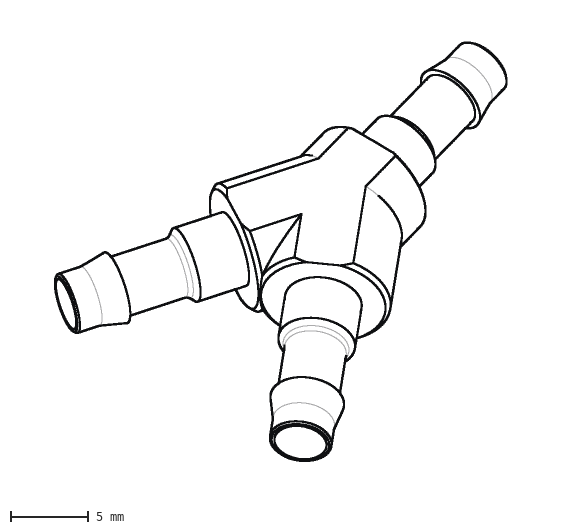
import cadquery as cq
import math

body_diameter = 8.68
body_height = 7.8
collar_diameter = 5.0
tube_diameter = 4.0
barb_diameter = 4.8
bore_diameter = 3.4

overall_length = 32.88
overall_width = 22.3
leg_angle = 30.0

collar_length = 3.4
collar_cone_end = 3.88
barb_shoulder = 8.25
barb_start = 10.05
spigot_length = 11.75
tip_chamfer = 0.13
stem_end_chamfer = 0.1
leg_end_chamfer = 0.3
leg_cone_fillet = 0.45

leg_sine = math.sin(math.radians(leg_angle))
leg_cosine = math.cos(math.radians(leg_angle))
tube_radius = tube_diameter / 2
tip_radius = tube_radius - tip_chamfer
leg_reach = (overall_width / 2 - tube_radius * leg_cosine) / leg_sine + tip_chamfer
leg_depth = leg_reach * leg_cosine + tip_radius * leg_sine
stem_reach = overall_length - leg_depth


def branch(reach, end_chamfer):
    """Solid of revolution along +Y: body barrel, collar, tube, barb and tip."""
    face = reach - spigot_length
    body_radius = body_diameter / 2
    collar_radius = collar_diameter / 2
    profile = [
        (0, 0),
        (body_radius, 0),
        (body_radius, face - end_chamfer),
        (body_radius - end_chamfer, face),
        (collar_radius, face),
        (collar_radius, face + collar_length),
        (tube_radius, face + collar_cone_end),
        (tube_radius, face + barb_shoulder),
        (barb_diameter / 2, face + barb_shoulder),
        (tube_radius, face + barb_start),
        (tube_radius, reach - tip_chamfer),
        (tip_radius, reach),
        (0, reach),
    ]
    return cq.Workplane("XY").polyline(profile).close().revolve(360, (0, 0, 0), (0, 1, 0))


def bore(reach):
    """Round passage along +Y from the junction to the tip."""
    return cq.Workplane("XZ").circle(bore_diameter / 2).extrude(-reach)


def turned(shape, angle):
    """Turn a branch about the vertical axis through the junction."""
    return shape.rotate((0, 0, 0), (0, 0, 1), angle)


stem = branch(stem_reach, stem_end_chamfer)
cone_foot = (0, leg_reach - spigot_length + collar_cone_end, 0)
leg = branch(leg_reach, leg_end_chamfer)
leg = leg.edges(cq.selectors.NearestToPointSelector(cone_foot)).fillet(leg_cone_fillet)

left_half = cq.Workplane("XY").box(
    overall_width, 2 * overall_length, 2 * body_height, centered=(False, True, True)
).translate((-overall_width, 0, 0))
left_leg = turned(leg, 180 - leg_angle).intersect(left_half)
result = stem.union(left_leg).union(left_leg.mirror("YZ"))

flats = cq.Workplane("XY").box(2 * overall_width, 2 * overall_length, body_height)
result = result.intersect(flats)

result = result.cut(bore(stem_reach))
for angle in (180 - leg_angle, 180 + leg_angle):
    result = result.cut(turned(bore(leg_reach), angle))